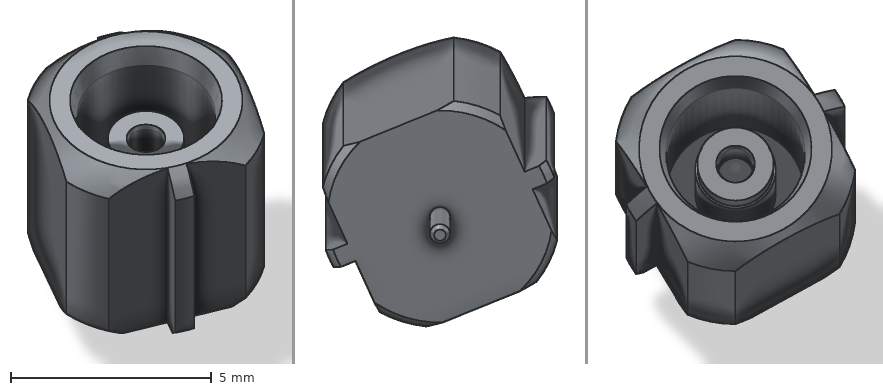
import cadquery as cq
import math

total_height = 6.88
outer_diameter = 6.0
body_width_x = 4.8
body_width_y = 5.2
pin_length = 1.38

top_flat_diameter = body_width_x
top_dome_height = 0.585
bottom_chamfer = 0.2

key_width = 0.5
pin_diameter = 0.5
pin_chamfer = 0.1

mouth_diameter = 3.785
mouth_depth = 0.5
socket_diameter = 3.45
socket_depth = 3.99

post_diameter = 2.0
post_tip_diameter = 1.89
post_tip_depth = 1.35
post_tip_length = 0.5

contact_entry_diameter = 0.96
contact_entry_depth = 0.13
contact_diameter = 0.89
contact_depth = 1.0

outer_radius = outer_diameter / 2
top_flat_radius = top_flat_diameter / 2
body_height = total_height - pin_length


def dome_arc_middle():
    """Middle of the edge arc, on a sphere centred on the part axis."""
    radial_drop = outer_radius**2 - top_flat_radius**2
    centre_drop = (radial_drop + top_dome_height**2) / (2 * top_dome_height)
    centre_z = total_height - centre_drop
    sphere_radius = math.hypot(top_flat_radius, centre_drop)
    middle_radius = (top_flat_radius + outer_radius) / 2
    middle_z = centre_z + math.sqrt(sphere_radius**2 - middle_radius**2)
    return middle_radius, middle_z


def turned_blank():
    """Round blank with a domed top edge and a chamfered bottom edge."""
    middle_radius, middle_z = dome_arc_middle()
    return (
        cq.Workplane("XZ")
        .moveTo(0, pin_length)
        .lineTo(outer_radius - bottom_chamfer, pin_length)
        .lineTo(outer_radius, pin_length + bottom_chamfer)
        .lineTo(outer_radius, total_height - top_dome_height)
        .threePointArc((middle_radius, middle_z), (top_flat_radius, total_height))
        .lineTo(0, total_height)
        .close()
        .revolve(360, (0, 0, 0), (0, 1, 0))
    )


def keyed_block():
    """Rectangular block with a key running up each X side."""
    base = cq.Workplane("XY").workplane(offset=pin_length)
    block = base.rect(body_width_x, body_width_y).extrude(body_height)
    keys = base.rect(outer_diameter, key_width).extrude(body_height)
    return block.union(keys)


def cylinder_down(diameter, top_depth, length):
    """Cylinder on the axis, starting at a depth below the top face."""
    start = cq.Workplane("XY").workplane(offset=total_height - top_depth)
    return start.circle(diameter / 2).extrude(-length)


def taper_down(top_diameter, bottom_diameter, top_depth, length):
    """Cone frustum on the axis, starting at a depth below the top face."""
    start = cq.Workplane("XY").workplane(offset=total_height - top_depth)
    return (
        start.circle(top_diameter / 2)
        .workplane(offset=-length)
        .circle(bottom_diameter / 2)
        .loft(ruled=True)
    )


def socket():
    """Space inside the socket, without the room taken by the contact post."""
    step_depth = post_tip_depth + post_tip_length
    bore = cylinder_down(socket_diameter, 0, socket_depth)
    mouth = taper_down(mouth_diameter, socket_diameter, 0, mouth_depth)
    post_tip = cylinder_down(post_tip_diameter, post_tip_depth, post_tip_length)
    post = cylinder_down(post_diameter, step_depth, socket_depth - step_depth)
    return bore.union(mouth).cut(post_tip).cut(post)


def contact_hole():
    """Blind hole with a tapered entry in the end of the post."""
    hole = cylinder_down(contact_diameter, post_tip_depth, contact_depth)
    entry = taper_down(contact_entry_diameter, contact_diameter, post_tip_depth, contact_entry_depth)
    return hole.union(entry)


def solder_pin():
    """Pin below the body, with a chamfered tip."""
    pin = cq.Workplane("XY").circle(pin_diameter / 2).extrude(pin_length)
    return pin.faces("<Z").chamfer(pin_chamfer)


body = turned_blank().intersect(keyed_block())
result = body.cut(socket()).cut(contact_hole()).union(solder_pin())